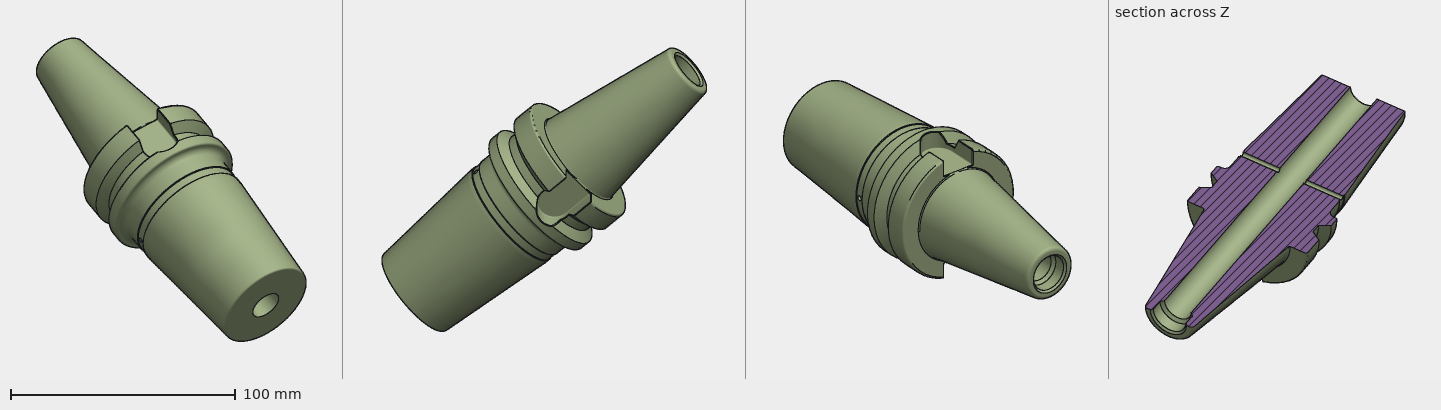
import cadquery as cq
length = 165.4
gauge_x = 65.3
taper_end_x = 65.8
flange_front_x = 66.3
rim_a_end_x = 76.7
groove_start_x = 79.7
groove_end_x = 84.0
rim_b_start_x = 87.0
flange_back_x = 92.5
collar_start_x = 95.5
band_start_x = 102.2
band_end_x = 106.7
nose_start_x = 108.5

flange_radius = 31.51
groove_radius = 26.6
collar_radius = 26.5
band_radius = 26.1
nose_end_radius = 22.0
gauge_radius = 22.2
taper_slope = 7 / 48
small_end_radius = gauge_radius - taper_slope * gauge_x
taper_end_radius = small_end_radius + taper_slope * taper_end_x
taper_root_round = flange_front_x - taper_end_x

rim_round = 1.0
band_step = collar_radius - band_radius
cove = collar_start_x - flange_back_x
taper_end_round = 1.8
nose_end_round = 0.8

through_radius = 7.0
pilot_radius = 8.5
pilot_depth = 6.6
mouth_radius = 9.5
mouth_chamfer = mouth_radius - pilot_radius

slot_half_width = 8.05
slot_floor_z = 22.5
slot_end_x = 88.8
slot_floor_round = 0.5
slot_edge_chamfer = 0.3
slot_wall_edge_z = 24.8

cross_hole_x = (band_start_x + band_end_x) / 2
cross_hole_radius = 1.2


def turned_body():
    """Revolve the outer profile about the X axis."""
    profile = (
        cq.Workplane("XZ")
        .lineTo(0, small_end_radius)
        .lineTo(taper_end_x, taper_end_radius)
        .radiusArc((flange_front_x, taper_end_radius + taper_root_round), -taper_root_round)
        .lineTo(flange_front_x, flange_radius - rim_round)
        .radiusArc((flange_front_x + rim_round, flange_radius), rim_round)
        .lineTo(rim_a_end_x, flange_radius)
        .lineTo(groove_start_x, groove_radius)
        .lineTo(groove_end_x, groove_radius)
        .lineTo(rim_b_start_x, flange_radius)
        .lineTo(flange_back_x - rim_round, flange_radius)
        .radiusArc((flange_back_x, flange_radius - rim_round), rim_round)
        .lineTo(flange_back_x, collar_radius + cove)
        .radiusArc((collar_start_x, collar_radius), -cove)
        .lineTo(band_start_x, collar_radius)
        .lineTo(band_start_x + band_step, band_radius)
        .lineTo(band_end_x - band_step, band_radius)
        .lineTo(band_end_x, collar_radius)
        .lineTo(nose_start_x, collar_radius)
        .lineTo(length, nose_end_radius)
        .lineTo(length, 0)
        .close()
    )
    body = profile.revolve(360, (0, 0, 0), (1, 0, 0))
    body = body.faces("<X").edges().fillet(taper_end_round)
    return body.faces(">X").edges().fillet(nose_end_round)


def bore():
    """Through bore with a pilot and a conical mouth at the taper end."""
    cone_end_x = pilot_depth + pilot_radius - through_radius
    return (
        cq.Workplane("XZ")
        .lineTo(0, mouth_radius)
        .lineTo(mouth_chamfer, pilot_radius)
        .lineTo(pilot_depth, pilot_radius)
        .lineTo(cone_end_x, through_radius)
        .lineTo(length, through_radius)
        .lineTo(length, 0)
        .close()
        .revolve(360, (0, 0, 0), (1, 0, 0))
    )


def drive_slot():
    """Round-ended slot above the floor, open toward the taper."""
    arc_center_x = slot_end_x - slot_half_width
    return (
        cq.Workplane("XY", origin=(0, 0, slot_floor_z))
        .moveTo(gauge_x, -slot_half_width)
        .lineTo(arc_center_x, -slot_half_width)
        .threePointArc((slot_end_x, 0), (arc_center_x, slot_half_width))
        .lineTo(gauge_x, slot_half_width)
        .close()
        .extrude(flange_radius - slot_floor_z + 1.7)
        .faces("<Z").edges("not(<X)").fillet(slot_floor_round)
    )


def cross_hole():
    """Small hole straight through the band along Y."""
    return (
        cq.Workplane("XZ", origin=(cross_hole_x, 0, 0))
        .circle(cross_hole_radius)
        .extrude(flange_radius, both=True)
    )


def break_slot_edges(body, side):
    """Chamfer the rims of the slot walls on one side (+1 upper, -1 lower)."""
    wall_box = cq.selectors.BoxSelector(
        (gauge_x, -slot_half_width - slot_edge_chamfer, side * slot_wall_edge_z),
        (slot_end_x + slot_edge_chamfer, slot_half_width + slot_edge_chamfer, side * flange_radius),
    )
    return body.edges(wall_box).chamfer(slot_edge_chamfer)


body = turned_body().cut(bore()).cut(cross_hole())
for side, slot_angle in ((1, 0), (-1, 180)):
    body = body.cut(drive_slot().rotate((0, 0, 0), (1, 0, 0), slot_angle))
    body = break_slot_edges(body, side)

result = body